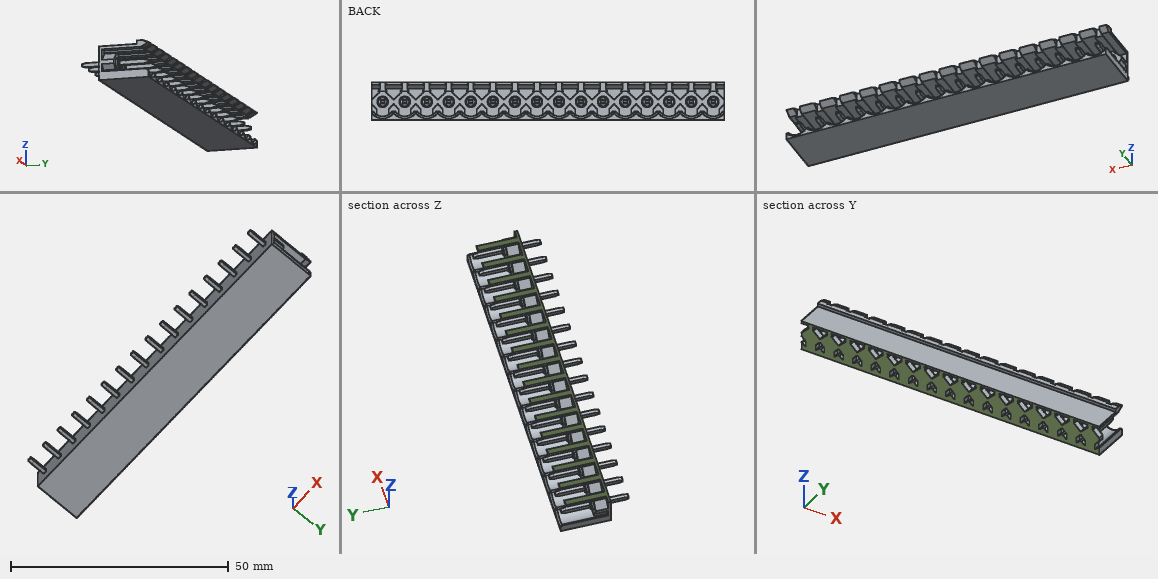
import cadquery as cq


length = 81.2
contact_count = 16
pitch = length / contact_count
depth = 12.0
body_height = 7.95
wall = 0.7
floor_top = 2.0
floor_chamfer = 0.5
roof_underside = body_height - wall

lip_top = 8.8
lip_back = 9.2
lip_tip = 8.2
ramp_run = 1.5
undercut_run = 1.7

scallop_radius = 2.8
scallop_floor = 0.9
scallop_axis = scallop_floor + scallop_radius

notch_end = 10.3
notch_width = 1.2
notch_mouth = 1.95
flare_depth = 0.5
rib_height = 0.6
rib_root_width = 1.2
rib_base_width = 1.95
rib_underside = roof_underside - rib_height

pin_z = 4.2
pin_size = 1.0
pin_front = 11.3
pin_back = -4.8
pin_taper = 1.0
pin_tip_height = 0.5
socket_front = 3.65
socket_top = 6.5
socket_top_width = 1.3
socket_shoulder = 2.5
socket_foot_width = 2.8
flange_diameter = 2.5
flange_front = 4.4
flange_chamfer = 0.25


def extrude_along_length(points):
    """Extrude a (y, z) outline over the whole row."""
    return cq.Workplane("YZ").polyline(points).close().extrude(length)


def extrude_toward_front(points, start, end):
    """Extrude an (x, z) outline from y = start to y = end."""
    return cq.Workplane("XZ", origin=(0, start, 0)).polyline(points).close().extrude(start - end)


def mirrored(right_side):
    """Close an outline symmetric about x = 0 from the points of its right side."""
    return right_side + [(-x, v) for x, v in reversed(right_side)]


def at_every_contact(shape):
    """Copy a shape modelled round x = 0 to every contact position."""
    positions = [(pitch * (i + 0.5), 0) for i in range(contact_count)]
    return cq.Workplane("XY").pushPoints(positions).eachpoint(shape)


def make_floor():
    """Bottom wall with a scallop per contact; its upper front edge is chamfered all along."""
    floor = cq.Workplane("XY").box(length, depth, floor_top, centered=False)
    scallop = (
        cq.Workplane("XZ", origin=(0, wall, 0))
        .center(0, scallop_axis)
        .circle(scallop_radius)
        .extrude(wall - depth)
    )
    floor = floor.cut(at_every_contact(scallop))
    upper_front = cq.selectors.BoxSelector(
        (-wall, depth - wall, wall / 2), (length + wall, depth + wall, floor_top + wall)
    )
    return floor.faces(">Y").edges("not |Z").edges(upper_front).chamfer(floor_chamfer)


def make_back_and_roof():
    """Back wall, roof and the lip, whose nose is sloped above and below."""
    outline = [
        (0, 0),
        (0, body_height),
        (lip_back, body_height),
        (lip_back, lip_top),
        (depth - ramp_run, lip_top),
        (depth, lip_tip),
        (depth - undercut_run, roof_underside),
        (wall, roof_underside),
        (wall, 0),
    ]
    return extrude_along_length(outline)


def make_notch():
    """Slot through the lip in front of a contact, flared at the tip."""
    right_side = [
        (notch_width / 2, notch_end),
        (notch_width / 2, depth - flare_depth),
        (notch_mouth / 2, depth),
    ]
    return (
        cq.Workplane("XY", origin=(0, 0, rib_underside))
        .polyline(mirrored(right_side)).close()
        .extrude(lip_top - rib_underside)
    )


def make_rib():
    """Dovetail rib under the roof, wider at its lower face."""
    right_side = [
        (rib_root_width / 2, roof_underside),
        (rib_base_width / 2, rib_underside),
    ]
    return extrude_toward_front(mirrored(right_side), wall, notch_end)


def make_socket():
    """Faceted block round a pin, joined to its neighbours by webs as thick as the pin."""
    right_side = [
        (socket_top_width / 2, rib_underside),
        (socket_top_width / 2, socket_top),
        (pitch / 2, pin_z + pin_size / 2),
        (pitch / 2, pin_z - pin_size / 2),
        (socket_foot_width / 2, socket_shoulder),
        (socket_foot_width / 2, wall),
    ]
    flange = (
        cq.Workplane("XZ", origin=(0, socket_front, pin_z))
        .circle(flange_diameter / 2)
        .extrude(socket_front - flange_front)
        .faces(">Y").chamfer(flange_chamfer)
    )
    return extrude_toward_front(mirrored(right_side), wall, socket_front).union(flange)


def make_pin():
    """Square pin through the back wall, flattened above and below towards both tips."""
    top_edge = [
        (pin_back, pin_tip_height / 2),
        (pin_back + pin_taper, pin_size / 2),
        (pin_front - pin_taper, pin_size / 2),
        (pin_front, pin_tip_height / 2),
    ]
    outline = top_edge + [(y, -z) for y, z in reversed(top_edge)]
    return (
        cq.Workplane("YZ", origin=(-pin_size / 2, 0, pin_z))
        .polyline(outline).close()
        .extrude(pin_size)
    )


result = (
    make_back_and_roof()
    .union(make_floor())
    .cut(at_every_contact(make_notch()))
    .union(at_every_contact(make_rib()))
    .union(at_every_contact(make_socket()))
    .union(at_every_contact(make_pin()))
)